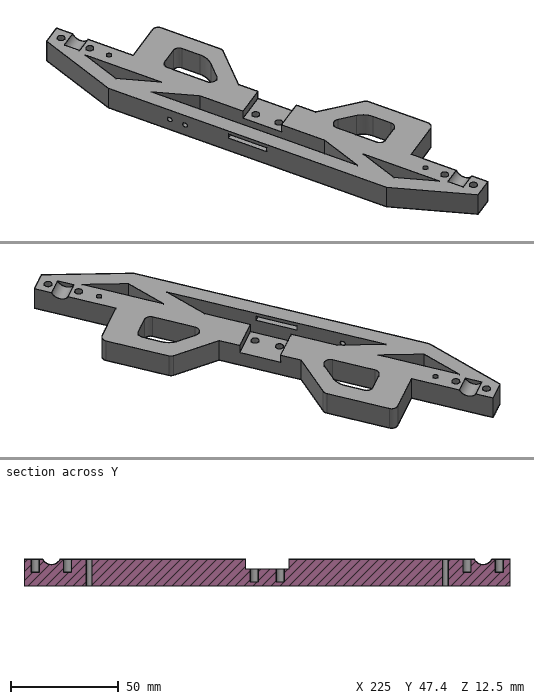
import cadquery as cq
import math

length = 225.0
width = 47.43
height = 12.5
half_length = length / 2

bumper_depth = 7.0
beam_front = 15.0
beam_depth = 10.0
beam_back = beam_front + beam_depth
beam_mid = beam_front + beam_depth / 2
center_back = 30.0

bend_x = 72.5
sweep_run = half_length - bend_x
sweep_slope = beam_front / sweep_run

triangle_half_base = 20.0
triangle_depth = triangle_half_base * sweep_slope

opening_back_half = 32.5
opening_front_half = opening_back_half + (beam_front - bumper_depth) / sweep_slope

lug_outer_x = bend_x
lug_inner_x = 20.1
lug_top_inner_x = lug_inner_x + width - center_back
lug_fillet = 3.0

side_wall = 15.0
window_outer_x = lug_outer_x - side_wall
window_inner_x = 30.7
flank_wall = 8.0
window_back = width - flank_wall
window_flank_offset = lug_inner_x - center_back + flank_wall * math.sqrt(2)
window_fillet = 3.0
window_flank_fillet = 10.0

recess_width = 20.0
recess_depth = 4.5
recess_floor = height - recess_depth
slot_height = 2.5
center_hole_x = 6.0

mount_hole_xs = (92.5, 107.5)
mount_hole_diameter = 3.6
mount_hole_depth = 6.0
pin_hole_x = 82.5
pin_hole_diameter = 2.5

notch_x = 100.0
notch_radius = 4.5
notch_length = 8.5
notch_axis_z = height + 2.0

front_hole_xs = (-40.5, -32.5)
front_hole_diameter = 2.5
front_hole_z = 6.5


def prism(points):
    """Full-height prism from an XY outline."""
    return cq.Workplane("XY").polyline(points).close().extrude(height)


def vertical_hole(x, diameter, top, depth):
    """Cylinder running down from the height top on the beam centreline."""
    return cq.Workplane("XY", origin=(x, beam_mid, top - depth)).circle(diameter / 2).extrude(depth)


def make_cross_cut(front, back, cut_height):
    """Centred box from front to back in Y, rising from the recess floor."""
    floor_plane = cq.Workplane("XY", origin=(0, front, recess_floor))
    return floor_plane.box(recess_width, back - front, cut_height, centered=(True, False, False))


def make_body():
    right_half = [
        (bend_x, 0),
        (half_length, beam_front),
        (half_length, beam_back),
        (lug_outer_x, beam_back),
        (lug_outer_x, width),
        (lug_top_inner_x, width),
        (lug_inner_x, center_back),
    ]
    left_half = [(-x, y) for x, y in reversed(right_half)]
    return prism(right_half + left_half).edges("|Z and >Y").fillet(lug_fillet)


def make_center_opening():
    return prism([
        (-opening_front_half, bumper_depth),
        (opening_front_half, bumper_depth),
        (opening_back_half, beam_front),
        (-opening_back_half, beam_front),
    ])


def make_triangle(side):
    return prism([
        (side * (bend_x - triangle_half_base), beam_front),
        (side * (bend_x + triangle_half_base), beam_front),
        (side * bend_x, beam_front - triangle_depth),
    ])


def make_window(side):
    flank_top_x = window_flank_offset + window_back
    flank_low_y = window_inner_x - window_flank_offset
    window = prism([
        (side * window_outer_x, beam_back),
        (side * window_outer_x, window_back),
        (side * flank_top_x, window_back),
        (side * window_inner_x, flank_low_y),
        (side * window_inner_x, beam_back),
    ])
    flank_corner = cq.selectors.NearestToPointSelector((side * flank_top_x, window_back, height / 2))
    window = window.edges(flank_corner).fillet(window_flank_fillet)
    for x, y in (
        (window_outer_x, beam_back),
        (window_outer_x, window_back),
        (window_inner_x, flank_low_y),
        (window_inner_x, beam_back),
    ):
        corner = cq.selectors.NearestToPointSelector((side * x, y, height / 2))
        window = window.edges(corner).fillet(window_fillet)
    return window


def make_notch(side):
    start = (side * notch_x, beam_back, notch_axis_z)
    return cq.Workplane("XZ", origin=start).circle(notch_radius).extrude(notch_length)


def make_front_hole(x):
    front_plane = cq.Workplane("XZ", origin=(x, 0, front_hole_z))
    return front_plane.circle(front_hole_diameter / 2).extrude(-bumper_depth)


result = make_body().cut(make_center_opening())
result = result.cut(make_cross_cut(beam_front, center_back, recess_depth))
result = result.cut(make_cross_cut(0, bumper_depth, slot_height))

for side in (-1, 1):
    result = result.cut(make_triangle(side))
    result = result.cut(make_window(side))
    result = result.cut(make_notch(side))
    result = result.cut(vertical_hole(side * pin_hole_x, pin_hole_diameter, height, height))
    result = result.cut(vertical_hole(side * center_hole_x, mount_hole_diameter, recess_floor, mount_hole_depth))
    for x in mount_hole_xs:
        result = result.cut(vertical_hole(side * x, mount_hole_diameter, height, mount_hole_depth))

for x in front_hole_xs:
    result = result.cut(make_front_hole(x))